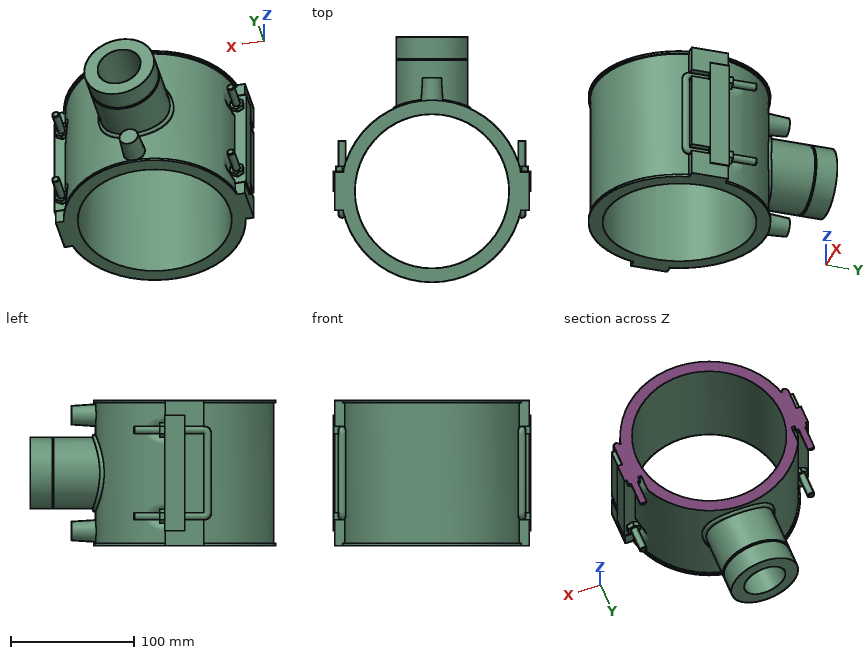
import cadquery as cq
import math

shell_height = 118.0
bore_radius = 62.5
shell_radius = 72.5
rim_radius = 74.0
rim_height = 2.0

lug_reach = 79.0
lug_depth = 15.6
plate_reach = 80.0
plate_depth = 16.2
plate_height = 94.0

bolt_diameter = 6.0
bolt_x = 73.0
bolt_z = 35.0
bolt_end_y = 41.2
bolt_end_chamfer = 0.6
bend_radius = 3.1
bend_angle = 90.0
nut_width = 10.0
nut_height = 4.0
nut_sides = 6
nut_corner_diameter = nut_width / math.cos(math.pi / nut_sides)

relief_radius = 7.5
relief_rounding = 7.0
relief_edge_margin = 0.1

branch_diameter = 58.3
branch_bore_diameter = 35.88
branch_end_y = 125.45
groove_diameter = 57.3
groove_y = 107.0
groove_width = 1.3

collar_diameter = 62.78
collar_height = 2.4
collar_rounding = 2.0

peg_z = 47.0
peg_end_y = 92.0
peg_end_diameter = 15.4
peg_root_diameter = 18.0

sides = (-1, 1)


def disc(radius, height):
    """Upright cylinder centred on the origin."""
    return cq.Workplane("XY").circle(radius).extrude(height / 2, both=True)


def rod_y(diameter, y_start, y_end, x=0.0, z=0.0):
    """Round bar parallel to Y between two Y positions."""
    plane = cq.Plane(origin=(x, y_start, z), xDir=(1, 0, 0), normal=(0, 1, 0))
    return cq.Workplane(plane).circle(diameter / 2).extrude(y_end - y_start)


def taper_y(start_diameter, end_diameter, y_start, y_end, x=0.0, z=0.0):
    """Truncated cone with its axis parallel to Y."""
    solid = cq.Solid.makeCone(
        start_diameter / 2, end_diameter / 2, y_end - y_start, cq.Vector(x, y_start, z), cq.Vector(0, 1, 0)
    )
    return cq.Workplane(obj=solid)


def block(x_range, y_range, z_range):
    """Box given by its limits along each axis."""
    size = [high - low for low, high in (x_range, y_range, z_range)]
    corner = (x_range[0], y_range[0], z_range[0])
    return cq.Workplane("XY").box(*size, centered=False).translate(corner)


def make_shell():
    """Solid shell cylinder with a rim at each end."""
    shell = disc(shell_radius, shell_height)
    for side in sides:
        rim = disc(rim_radius, rim_height)
        shell = shell.union(rim.translate((0, 0, side * (shell_height - rim_height) / 2)))
    return shell


def cut_reliefs(shell):
    """Cut a rounded clearance into the shell above every +Y lug, around each nut."""
    for side_x in sides:
        for side_z in sides:
            x = side_x * bolt_x
            z = side_z * bolt_z
            reach = 2 * relief_radius
            shell = shell.cut(rod_y(2 * relief_radius, lug_depth, shell_radius, x, z))
            relief_edge = cq.selectors.BoxSelector(
                (x - reach, lug_depth + relief_edge_margin, z - reach), (x + reach, shell_radius, z + reach)
            )
            shell = shell.edges(relief_edge).fillet(relief_rounding)
    return shell


def make_lugs():
    """Lug pair on the -X side with the cover plate on its +Y half."""
    half_height = shell_height / 2
    half_plate = plate_height / 2
    lugs = block((-lug_reach, -bore_radius), (-lug_depth, lug_depth), (-half_height, half_height))
    plate = block((-plate_reach, -bore_radius), (0, plate_depth), (-half_plate, half_plate))
    return lugs.union(plate)


def make_slot(z):
    """Bolt slot through the -Y lug, open on the outside and round at its inner end."""
    half_width = bolt_diameter / 2
    slot = block((-plate_reach, -bolt_x), (-lug_depth, 0), (z - half_width, z + half_width))
    return slot.union(rod_y(bolt_diameter, -lug_depth, 0, -bolt_x, z))


def make_bolt():
    """U-bolt on the -X side: two legs with nuts, a crossbar and two quarter bends."""
    bar_y = -lug_depth - bend_radius
    bar_half = bolt_z - bend_radius
    bolt = disc(bolt_diameter / 2, 2 * bar_half).translate((-bolt_x, bar_y, 0))
    for side in sides:
        z = side * bolt_z
        leg = rod_y(bolt_diameter, -lug_depth, bolt_end_y, -bolt_x, z).faces(">Y").chamfer(bolt_end_chamfer)
        bend_plane = cq.Plane(origin=(-bolt_x, bar_y, side * bar_half), xDir=(0, 1, 0), normal=(0, 0, side))
        bend = (
            cq.Workplane(bend_plane)
            .circle(bolt_diameter / 2)
            .revolve(bend_angle, (bend_radius, 0), (bend_radius, 1))
        )
        nut_plane = cq.Plane(origin=(-bolt_x, plate_depth, z), xDir=(0, 0, 1), normal=(0, 1, 0))
        nut = cq.Workplane(nut_plane).polygon(nut_sides, nut_corner_diameter).extrude(nut_height)
        bolt = bolt.union(leg).union(bend).union(nut)
    return bolt


def make_collar():
    """Saddle-shaped collar that follows the shell, with a rounded outer edge."""
    collar = disc(shell_radius + collar_height, shell_height).intersect(
        rod_y(collar_diameter, 0, branch_end_y)
    )
    rim_edge = cq.selectors.BoxSelector(
        (-collar_diameter, bore_radius, -collar_diameter), (collar_diameter, branch_end_y, collar_diameter)
    )
    return collar.edges(rim_edge).fillet(collar_rounding)


def make_branch():
    """Solid branch pipe with a shallow groove near its end."""
    branch = rod_y(branch_diameter, 0, branch_end_y)
    half_width = groove_width / 2
    groove = rod_y(branch_diameter, groove_y - half_width, groove_y + half_width).cut(
        rod_y(groove_diameter, groove_y - half_width, groove_y + half_width)
    )
    return branch.cut(groove)


def make_peg(z):
    """Tapered peg with a straight root sunk into the shell wall."""
    root = rod_y(peg_root_diameter, bore_radius, shell_radius, 0, z)
    return root.union(taper_y(peg_root_diameter, peg_end_diameter, shell_radius, peg_end_y, 0, z))


def both_sides(feature):
    """A -X feature together with its mirror image on the +X side."""
    return feature.union(feature.mirror("YZ"))


def both_levels(make_feature, z):
    """Union of a feature built at +z and at -z."""
    return make_feature(z).union(make_feature(-z))


def split_into_halves(body):
    """Join the -Y and +Y halves again, keeping the parting line between them as an edge."""
    half_height = shell_height / 2
    back_space = block((-plate_reach, plate_reach), (0, branch_end_y), (-half_height, half_height))
    return body.cut(back_space).union(body.intersect(back_space), clean=False)


body = cut_reliefs(make_shell())
body = body.union(both_sides(make_lugs()))
body = body.union(make_collar()).union(make_branch()).union(both_levels(make_peg, peg_z))
body = body.cut(disc(bore_radius, shell_height))
body = body.cut(rod_y(branch_bore_diameter, 0, branch_end_y))
body = body.cut(both_sides(both_levels(make_slot, bolt_z)))
body = split_into_halves(body)

result = body.union(both_sides(make_bolt()), clean=False)